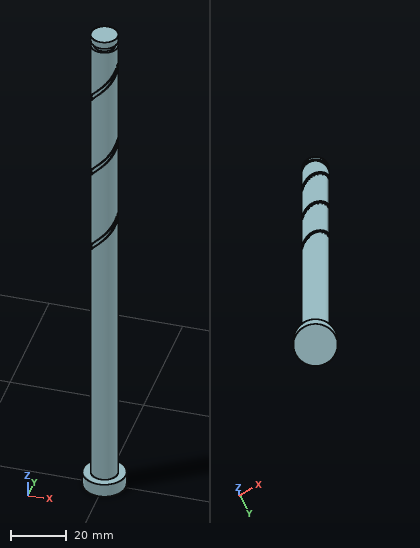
import cadquery as cq

total_length = 200.0
head_diameter = 16.0
head_height = 5.5
shaft_diameter = 10.0

tip_collar_length = 2.8
neck_length = 1.8
neck_diameter = 8.0

helix_pitch = 33.2
helix_turns = 3
helix_top_drop = 5.2
groove_width = 1.5
groove_depth = 0.5

shaft_radius = shaft_diameter / 2


def make_pin():
    """Stepped cylinder standing on its head, with its tip at the top."""
    head = cq.Workplane("XY").circle(head_diameter / 2).extrude(head_height)
    shaft = cq.Workplane("XY").circle(shaft_radius).extrude(total_length)
    return head.union(shaft)


def make_neck_ring():
    """Ring of material removed to leave the neck below the tip collar."""
    neck_bottom = total_length - tip_collar_length - neck_length
    return (
        cq.Workplane("XY")
        .workplane(offset=neck_bottom)
        .circle(head_diameter / 2)
        .circle(neck_diameter / 2)
        .extrude(neck_length)
    )


def make_helical_cutter():
    """Rectangular bar swept along a right-handed helix that starts and ends at +Y."""
    helix_height = helix_pitch * helix_turns
    helix_bottom = total_length - helix_top_drop - helix_height
    path = cq.Wire.makeHelix(
        helix_pitch, helix_height, shaft_radius, center=cq.Vector(0, 0, helix_bottom)
    )
    start = path.startPoint()
    section_plane = cq.Plane(origin=start, xDir=(1, 0, 0), normal=path.tangentAt(0))
    bar = (
        cq.Workplane(section_plane)
        .rect(2 * groove_depth, groove_width)
        .sweep(cq.Workplane(path), isFrenet=True)
    )
    return bar.rotate((0, 0, 0), (0, 0, 1), 90)


result = make_pin().cut(make_neck_ring()).cut(make_helical_cutter())